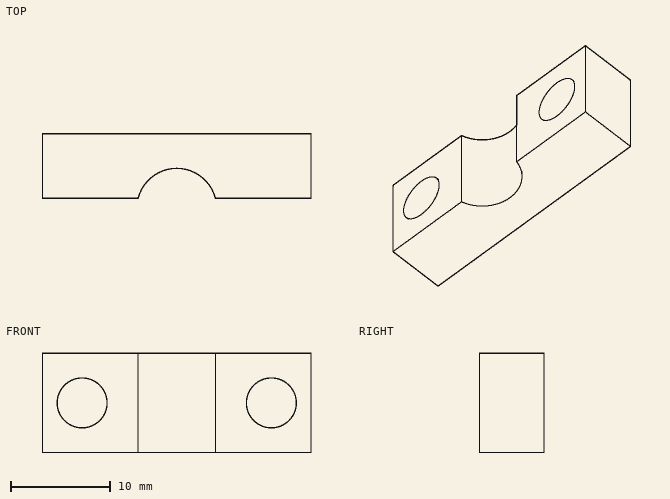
import cadquery as cq

length = 27.0
depth = 6.5
height = 10.0

hole_diameter = 5.0
hole_spacing = 19.0

groove_radius = 4.0
groove_axis_offset = 1.0


def make_block():
    """Block centred on the origin."""
    return cq.Workplane("XY").box(length, depth, height)


def cut_bolt_holes(body):
    """Cut one through hole on each side of the groove."""
    hole_centres = [(-hole_spacing / 2, 0), (hole_spacing / 2, 0)]
    return body.faces("<Y").workplane().pushPoints(hole_centres).hole(hole_diameter)


def cut_groove(body):
    """Cut the full-height groove into the front face."""
    groove_axis_y = -depth / 2 - groove_axis_offset
    groove = (
        cq.Workplane("XY")
        .center(0, groove_axis_y)
        .circle(groove_radius)
        .extrude(height / 2, both=True)
    )
    return body.cut(groove)


result = cut_groove(cut_bolt_holes(make_block()))